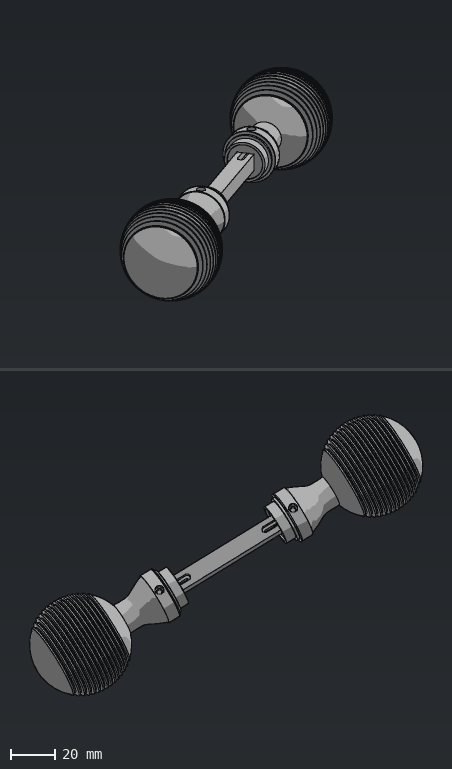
import cadquery as cq
import math

overall_length = 201.0
ball_diameter = 46.0
ball_radius = ball_diameter / 2
ball_centre = overall_length / 2 - ball_radius

grip_length = 29.3
rings_each_side = 7
ring_pitch = grip_length / (2 * rings_each_side)
crest_width = 0.8
flank_width = 0.5
groove_depth = 1.3

neck_radius = 7.5
waist_radius = 7.6
waist_position = 47.8
flare_radius = 10.0
flare_position = 43.0
shoulder_radius = 12.0
collar_radius = 12.5
collar_outer_end = 38.4
collar_inner_end = 32.8

plate_end = 32.2
step_radius = 11.0
step_end = 31.0
sleeve_radius = 9.6
sleeve_end = 26.1
bush_bore_radius = 8.5
shank_recess = 1.0

spindle_side = 8.0
spindle_end = 44.2
slot_width = 3.0
slot_depth = 3.0
slot_start = 19.3
slot_floor_width = 0.6

screw_radius = 2.0
screw_position = (collar_inner_end + collar_outer_end) / 2
screw_top = 9.6
socket_width = 2.5
socket_depth = 2.5

drill_slope = math.tan(math.radians(24.0))

spindle_top = spindle_side / 2
slot_radius = slot_width / 2
slot_wall_bottom = spindle_top - slot_depth
slot_floor = slot_wall_bottom - (slot_radius - slot_floor_width / 2) * drill_slope


def make_square_bar():
    return cq.Workplane("XY").box(spindle_side, 2 * spindle_end, spindle_side)


def make_slot_cutter():
    """Slot with a rounded inner end and a tapered floor, open at the end of the spindle."""
    arc_centre = slot_start + slot_radius
    half_section = [
        (slot_floor_width / 2, slot_floor),
        (slot_radius, slot_wall_bottom),
        (slot_radius, spindle_top),
    ]
    other_half = [(-x, z) for x, z in reversed(half_section)]
    section_plane = cq.Workplane("XZ", origin=(0, arc_centre, 0))
    rounded_end = (
        section_plane.polyline([(0, slot_floor), *half_section, (0, spindle_top)])
        .close()
        .revolve(360, (0, 0, 0), (0, 1, 0))
    )
    channel = section_plane.polyline(half_section + other_half).close().extrude(-spindle_end)
    return rounded_end.union(channel)


def make_spindle():
    cutter = make_slot_cutter()
    return make_square_bar().cut(cutter).cut(cutter.mirror("XZ"))


def sphere_section(radius, offset):
    """Radius of the circle cut from a sphere at a distance from its centre."""
    return math.sqrt(radius**2 - offset**2)


def make_grip_outline():
    """Points (radius, y) of the grip rings, from the neck side to the outer side."""
    core_radius = ball_radius - groove_depth
    crest_half = crest_width / 2
    root_half = crest_half + flank_width
    outline = []
    for index in range(-rings_each_side, rings_each_side + 1):
        offset = index * ring_pitch
        crest_radius = sphere_section(ball_radius, offset)
        if index > -rings_each_side:
            root = offset - root_half
            outline.append((sphere_section(core_radius, root), ball_centre + root))
        outline.append((crest_radius, ball_centre + offset - crest_half))
        outline.append((crest_radius, ball_centre + offset + crest_half))
        if index < rings_each_side:
            root = offset + root_half
            outline.append((sphere_section(core_radius, root), ball_centre + root))
    return outline


def make_knob():
    """Ball, neck, collar and shank, with a square spindle socket and a screw hole."""
    grip_half = (grip_length + crest_width) / 2
    grip_end_radius = sphere_section(ball_radius, grip_half)
    ball_start = -sphere_section(ball_radius, neck_radius)
    shank_end = sleeve_end + shank_recess
    lower_middle = (ball_start - grip_half) / 2
    upper_middle = (ball_radius + grip_half) / 2
    knob = (
        cq.Workplane("XY")
        .moveTo(0, shank_end)
        .lineTo(bush_bore_radius, shank_end)
        .lineTo(bush_bore_radius, collar_inner_end)
        .lineTo(collar_radius, collar_inner_end)
        .lineTo(collar_radius, collar_outer_end)
        .lineTo(shoulder_radius, collar_outer_end)
        .spline(
            [
                (flare_radius, flare_position),
                (waist_radius, waist_position),
                (neck_radius, ball_centre + ball_start),
            ],
            tangents=[(-1, 2), (0, 1)],
            includeCurrent=True,
        )
        .threePointArc(
            (sphere_section(ball_radius, lower_middle), ball_centre + lower_middle),
            (grip_end_radius, ball_centre - grip_half),
        )
        .polyline(make_grip_outline(), includeCurrent=True)
        .lineTo(grip_end_radius, ball_centre + grip_half)
        .threePointArc(
            (sphere_section(ball_radius, upper_middle), ball_centre + upper_middle),
            (0, ball_centre + ball_radius),
        )
        .close()
        .revolve(360, (0, 0, 0), (0, 1, 0))
    )
    screw_hole = (
        cq.Workplane("XY", origin=(0, screw_position, 0))
        .circle(screw_radius)
        .extrude(collar_radius)
    )
    return knob.cut(make_square_bar()).cut(screw_hole)


def make_bush():
    """Stepped sleeve with a plate that lies against the collar."""
    return (
        cq.Workplane("XY")
        .moveTo(bush_bore_radius, collar_inner_end)
        .lineTo(collar_radius, collar_inner_end)
        .lineTo(collar_radius, plate_end)
        .lineTo(step_radius, plate_end)
        .lineTo(step_radius, step_end)
        .lineTo(sleeve_radius, step_end)
        .lineTo(sleeve_radius, sleeve_end)
        .lineTo(bush_bore_radius, sleeve_end)
        .close()
        .revolve(360, (0, 0, 0), (0, 1, 0))
    )


def make_screw():
    """Set screw that stands on the spindle, with a hex socket that ends in a cone."""
    socket_floor = screw_top - socket_depth
    across_corners = socket_width / math.cos(math.pi / 6)
    cone_radius = socket_width / 2
    body = (
        cq.Workplane("XY", origin=(0, screw_position, spindle_top))
        .circle(screw_radius)
        .extrude(screw_top - spindle_top)
    )
    hexagon = (
        cq.Workplane("XY", origin=(0, screw_position, socket_floor))
        .polygon(6, across_corners)
        .extrude(socket_depth)
    )
    cone = cq.Solid.makeCone(
        cone_radius,
        0,
        cone_radius * drill_slope,
        cq.Vector(0, screw_position, socket_floor),
        cq.Vector(0, 0, -1),
    )
    return body.cut(hexagon).cut(cq.Workplane(cone))


spindle = make_spindle()
bodies = [spindle.solids().val()]
for make_body in (make_knob, make_bush, make_screw):
    body = make_body()
    bodies.append(body.solids().val())
    bodies.append(body.mirror("XZ").solids().val())

result = cq.Compound.makeCompound(bodies)